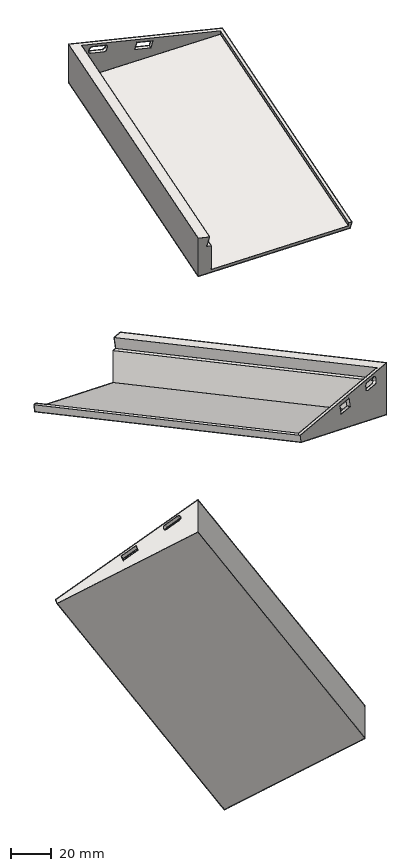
import cadquery as cq
import math

length = 152.0
depth = 83.1
height = 26.0
slope = 15.0
tan_slope = math.tan(math.radians(slope))
sin_slope = math.sin(math.radians(slope))
cos_slope = math.cos(math.radians(slope))

wall = 2.0
floor = 2.0
front_wall = 6.2
ledge_edge = 7.1
pocket_depth = 6.0

round_window_start = 11.2
round_window_length = 10.0
round_window_height = 4.1
round_window_cover = 1.7
round_window_corner = 1.4
square_window_start = 36.6
square_window_length = 9.0
square_window_height = 4.4
square_window_cover = 2.0


def top_at(y):
    """Height of the sloping top above the base at depth y."""
    return height - y * tan_slope


def below_slope(y, below):
    """YZ point a perpendicular distance below the top at depth y."""
    return (y - below * sin_slope, top_at(y) - below * cos_slope)


def prism(points, start, width):
    """Extrude a YZ outline along +X."""
    return cq.Workplane("YZ").polyline(points).close().extrude(width).translate((start, 0, 0))


def make_wedge():
    back_top = top_at(depth)
    back_base = depth - back_top * tan_slope
    outline = [(0, 0), (back_base, 0), (depth, back_top), (0, height)]
    return prism(outline, 0, length)


def make_cavity():
    """Sloping pocket plus the hollow beneath it, clipped by a level floor and open at +X.

    The front of the pocket is square to the slope and leaves a narrow ledge; its back is vertical.
    """
    back = depth - wall
    pocket = prism(
        [
            below_slope(front_wall, 0),
            below_slope(front_wall, pocket_depth),
            (back, top_at(back) - pocket_depth / cos_slope),
            (back, top_at(back)),
        ],
        wall,
        length - wall,
    )
    hollow_top = top_at(ledge_edge) - pocket_depth / cos_slope
    hollow_back = ledge_edge + (hollow_top - floor) / tan_slope
    hollow = prism([(ledge_edge, floor), (hollow_back, floor), (ledge_edge, hollow_top)], wall, length - wall)
    above_floor = cq.Workplane("XY").box(length, depth, height, centered=False).translate((0, 0, floor))
    return pocket.union(hollow).intersect(above_floor)


def make_window(start_y, width, window_height, cover, corner_radius=0):
    """Window cutter aligned with the slope, with optional rounded corners."""
    window = cq.Workplane("XY").box(wall, width, window_height, centered=False)
    if corner_radius:
        window = window.edges("|X").fillet(corner_radius)
    window = window.translate((0, 0, -cover - window_height))
    window = window.rotate((0, 0, 0), (1, 0, 0), -slope)
    return window.translate((0, start_y, top_at(start_y)))


round_window = make_window(
    round_window_start, round_window_length, round_window_height, round_window_cover, round_window_corner
)
square_window = make_window(
    square_window_start, square_window_length, square_window_height, square_window_cover
)
result = make_wedge().cut(make_cavity()).cut(round_window).cut(square_window)